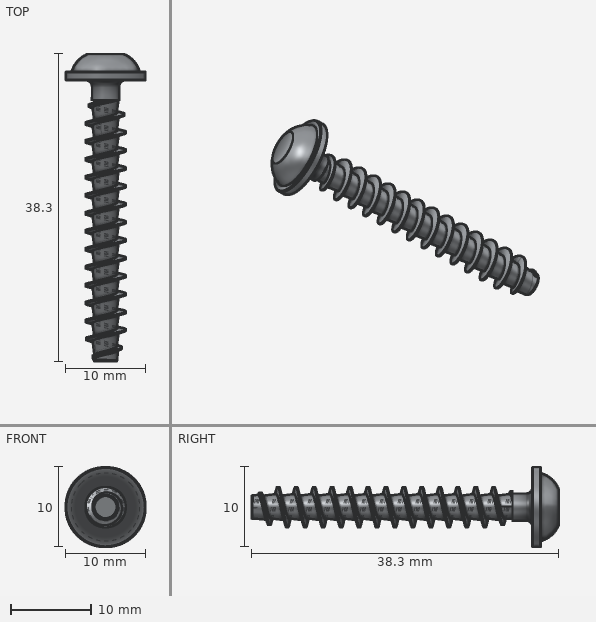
import cadquery as cq
import math

total_length = 38.3
flange_diameter = 10.0
head_height = 3.35
flange_thickness = 1.1
flange_chamfer = 0.1
dome_top_radius = 2.22
dome_base_radius = 4.25
dome_bulge = 0.35

shank_radius = 1.72
neck_fillet = 0.65
shank_length = 2.45

core_radius = 1.45
tip_radius = 1.38
tip_shoulder_radius = 1.6
tip_taper_length = 0.42

pitch_span = 29.07
pitch_span_turns = 13
pitch = pitch_span / pitch_span_turns
crest_radius = 2.53
crest_width = 0.15
root_width = 0.57
skirt_radius = 1.65
thread_root_depth = 0.15
skirt_overlap = 0.02
skirt_span = 0.98 * pitch

thread_start = 0.55
thread_start_angle = 177
run_out_crest_radius = 1.6
run_out_skirt_radius = 1.5
run_out_turns = 1.1
full_turns = 12.1
run_in_crest_radius = 1.88
run_in_turns = 1.3

flange_radius = flange_diameter / 2
dome_height = head_height - flange_thickness
tip_z = head_height - total_length
thread_top_z = -shank_length


def make_head():
    """Revolve the flange and its flat-topped dome, with the underside at Z = 0."""
    flange = cq.Workplane("XY").circle(flange_radius).extrude(flange_thickness)
    flange = flange.edges().chamfer(flange_chamfer)
    dome_run = dome_base_radius - dome_top_radius
    chord = (dome_run**2 + dome_height**2) ** 0.5
    arc_middle = (
        (dome_base_radius + dome_top_radius) / 2 + dome_bulge * dome_height / chord,
        flange_thickness + dome_height / 2 + dome_bulge * dome_run / chord,
    )
    dome = (
        cq.Workplane("XZ")
        .moveTo(0, flange_thickness)
        .lineTo(dome_base_radius, flange_thickness)
        .threePointArc(arc_middle, (dome_top_radius, head_height))
        .lineTo(0, head_height)
        .close()
        .revolve(360, (0, 0), (0, 1))
    )
    return flange.union(dome)


def make_shank():
    """Revolve the plain shank with the concave neck fillet under the flange."""
    return (
        cq.Workplane("XZ")
        .lineTo(shank_radius + neck_fillet, 0)
        .radiusArc((shank_radius, -neck_fillet), -neck_fillet)
        .lineTo(shank_radius, thread_top_z)
        .lineTo(0, thread_top_z)
        .close()
        .revolve(360, (0, 0), (0, 1))
    )


def ridge_section(crest, skirt):
    """Return the (radius, height) corners of the ridge for a crest and a skirt radius."""
    inner_radius = core_radius - thread_root_depth
    return [
        (inner_radius, root_width / 2),
        (crest, crest_width / 2),
        (crest, -crest_width / 2),
        (skirt, -root_width / 2),
        (core_radius - skirt_overlap, root_width / 2 - skirt_span),
        (inner_radius, root_width / 2 - skirt_span),
    ]


def make_helix(first, last, turns):
    """Make a right-handed corner helix whose radius changes evenly from first to last."""
    height = pitch * turns
    if first[0] == last[0]:
        helix = cq.Wire.makeHelix(pitch, height, first[0])
    else:
        taper = math.atan2(last[0] - first[0], height)
        slope = 1 / math.cos(taper)
        helix = cq.Wire.makeHelix(pitch * slope, height * slope, first[0], angle=math.degrees(taper))
    return helix.translate(cq.Vector(0, 0, first[1]))


def make_ridge():
    """Build the solid thread ridge from ruled faces between its corner helices."""
    full_section = ridge_section(crest_radius, skirt_radius)
    first_section = ridge_section(run_out_crest_radius, run_out_skirt_radius)
    last_section = ridge_section(run_in_crest_radius, skirt_radius)
    stages = [
        (first_section, full_section, run_out_turns),
        (full_section, full_section, full_turns),
        (full_section, last_section, run_in_turns),
    ]
    faces = []
    turns_below = 0
    for first, last, turns in stages:
        helices = [make_helix(a, b, turns) for a, b in zip(first, last)]
        for helix, neighbour in zip(helices, helices[1:] + helices[:1]):
            face = cq.Face.makeRuledSurface(helix, neighbour)
            face = face.rotate(cq.Vector(0, 0, 0), cq.Vector(0, 0, 1), 360 * turns_below)
            faces.append(face.translate(cq.Vector(0, 0, pitch * turns_below)))
        turns_below += turns

    for section, turn in ((first_section, 0), (last_section, turns_below)):
        angle = 2 * math.pi * turn
        corners = [
            cq.Vector(r * math.cos(angle), r * math.sin(angle), z + pitch * turn)
            for r, z in section
        ]
        faces.append(cq.Face.makeFromWires(cq.Wire.makePolygon(corners, close=True)))

    ridge = cq.Workplane(cq.Solid.makeSolid(cq.Shell.makeShell(faces)))
    ridge = ridge.rotate((0, 0, 0), (0, 0, 1), thread_start_angle)
    return ridge.translate((0, 0, tip_z + thread_start))


def make_threaded_part():
    """Join ridge and core, trim both ends flat and taper the tip."""
    core_bottom_z = tip_z - pitch
    core = cq.Workplane("XY").workplane(offset=core_bottom_z)
    core = core.circle(core_radius).extrude(-core_bottom_z)
    thread_length = thread_top_z - tip_z
    bounds = cq.Workplane("XY").workplane(offset=tip_z)
    bounds = bounds.circle(flange_radius).extrude(thread_length)
    tip_taper = (
        cq.Workplane("XZ")
        .moveTo(tip_radius, tip_z)
        .lineTo(flange_radius, tip_z)
        .lineTo(flange_radius, tip_z + tip_taper_length)
        .lineTo(tip_shoulder_radius, tip_z + tip_taper_length)
        .close()
        .revolve(360, (0, 0), (0, 1))
    )
    return core.union(make_ridge()).intersect(bounds).cut(tip_taper)


screw = make_head().union(make_shank()).union(make_threaded_part())
result = screw.rotate((0, 0, 0), (1, 0, 0), -90)